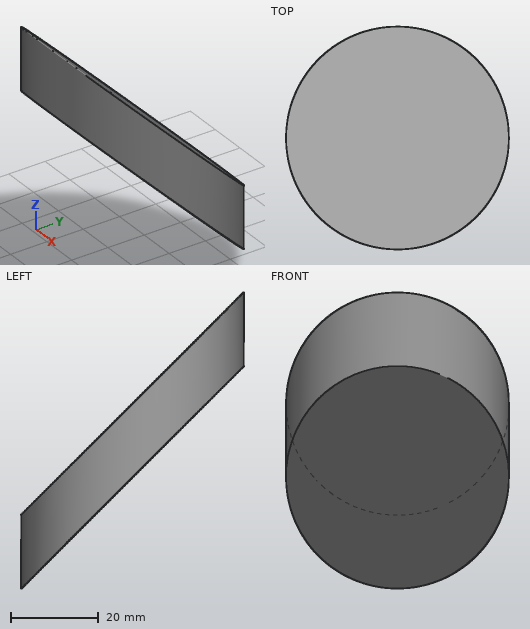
import cadquery as cq
import math

overall_height = 67.4
diameter = 50.8
slant_angle = math.radians(45)
edge_radius = 0.1

radius = diameter / 2
face_rise = diameter * math.tan(slant_angle)

tip_angle = math.pi / 2 - slant_angle
tip_loss = edge_radius / math.tan(tip_angle / 2) - edge_radius
half_sharp_height = overall_height / 2 + tip_loss
wall_height = 2 * half_sharp_height - face_rise

side_profile = [
    (radius, -half_sharp_height),
    (radius, -half_sharp_height + wall_height),
    (-radius, half_sharp_height),
    (-radius, half_sharp_height - wall_height),
]
slanted_slab = (
    cq.Workplane("YZ")
    .polyline(side_profile)
    .close()
    .extrude(radius, both=True)
)

cylinder = cq.Workplane("XY").circle(radius).extrude(half_sharp_height, both=True)
sharp_plate = cylinder.intersect(slanted_slab)

result = sharp_plate.faces("%PLANE").edges().fillet(edge_radius)